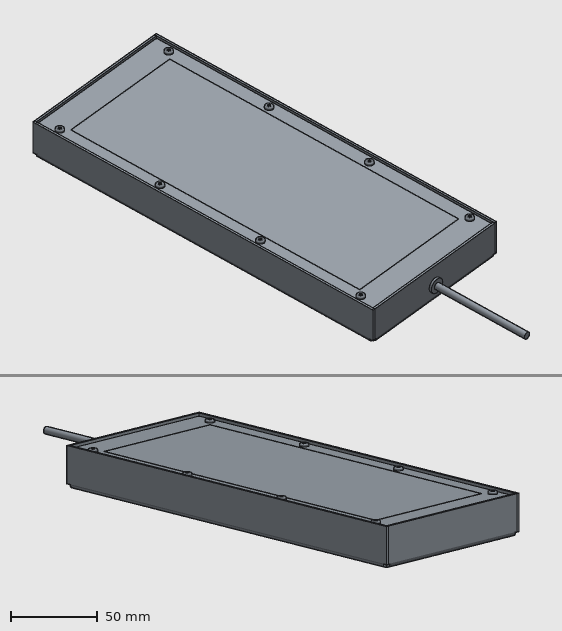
import cadquery as cq

TRAY_LENGTH = 261.0
TRAY_WIDTH = 107.7
TRAY_HEIGHT = 25.2
SHEET = 1.5
BEND_RADIUS = 2.3
INNER_BEND_RADIUS = BEND_RADIUS - SHEET
CORNER_RELIEF = 2.5
FLAP_GAP = 0.05

LID_DEPTH = 1.82
LID_TOP = TRAY_HEIGHT - LID_DEPTH
LID_LENGTH = TRAY_LENGTH - 2 * SHEET
LID_WIDTH = TRAY_WIDTH - 2 * SHEET
WINDOW_LENGTH = 221.5
WINDOW_WIDTH = 86.2
WINDOW_STEP = 0.15

SCREW_COLUMNS = 4
SCREW_ROWS = 2
SCREW_PITCH_X = 77.0
SCREW_PITCH_Y = 95.0
HEAD_DIAMETER = 5.5
HEAD_HEIGHT = 1.5
HEAD_ROUND = 1.0
SOCKET_SIZE = 2.0
SOCKET_DEPTH = 1.0
HEXAGON = 6

OVERALL_LENGTH = 331.5
CABLE_DIAMETER = 4.5
CABLE_HEIGHT = 11.3
CABLE_LENGTH = OVERALL_LENGTH - TRAY_LENGTH
COLLAR_DIAMETER = 10.0
COLLAR_LENGTH = 1.5


def folded_channel(length, width):
    """Sheet bent into a U that runs along X, with rounded bottom bends."""
    outside = (
        cq.Workplane("XY")
        .box(length, width, TRAY_HEIGHT, centered=(True, True, False))
        .edges("|X and <Z")
        .fillet(BEND_RADIUS)
    )
    inside = (
        cq.Workplane("XY", origin=(0, 0, SHEET))
        .box(length, width - 2 * SHEET, TRAY_HEIGHT, centered=(True, True, False))
        .edges("|X and <Z")
        .fillet(INNER_BEND_RADIUS)
    )
    return outside.cut(inside)


def bend_strips(size_x, size_y):
    """Two blocks as tall as a bend, set against opposite bottom edges of the tray."""
    offset_x = (TRAY_LENGTH - size_x) / 2
    offset_y = (TRAY_WIDTH - size_y) / 2
    return (
        cq.Workplane("XY")
        .pushPoints([(-offset_x, -offset_y), (offset_x, offset_y)])
        .rect(size_x, size_y)
        .extrude(BEND_RADIUS)
    )


def make_tray():
    end_strips = bend_strips(CORNER_RELIEF, TRAY_WIDTH)
    side_strips = bend_strips(TRAY_LENGTH, CORNER_RELIEF)
    long_walls = folded_channel(TRAY_LENGTH, TRAY_WIDTH).cut(end_strips)
    flap_width = TRAY_WIDTH - 2 * (SHEET + FLAP_GAP)
    end_flaps = folded_channel(flap_width, TRAY_LENGTH).rotate((0, 0, 0), (0, 0, 1), 90)
    return long_walls.union(end_flaps.cut(side_strips))


def on_screws(height):
    """Workplane at the given height with a point on every screw axis."""
    return cq.Workplane("XY", origin=(0, 0, height)).rarray(
        SCREW_PITCH_X, SCREW_PITCH_Y, SCREW_COLUMNS, SCREW_ROWS
    )


def make_lid():
    block = (
        cq.Workplane("XY", origin=(0, 0, SHEET))
        .box(LID_LENGTH, LID_WIDTH, LID_TOP - SHEET, centered=(True, True, False))
        .faces("<Z")
        .edges()
        .fillet(INNER_BEND_RADIUS)
    )
    window = (
        cq.Workplane("XY", origin=(0, 0, LID_TOP))
        .rect(WINDOW_LENGTH, WINDOW_WIDTH)
        .extrude(-WINDOW_STEP)
    )
    heads = on_screws(LID_TOP).circle(HEAD_DIAMETER / 2).extrude(HEAD_HEIGHT)
    heads = heads.faces(">Z").edges().fillet(HEAD_ROUND)
    sockets = (
        on_screws(LID_TOP + HEAD_HEIGHT).polygon(HEXAGON, SOCKET_SIZE).extrude(-SOCKET_DEPTH)
    )
    return block.cut(window).union(heads).cut(sockets)


def make_cable():
    wall = cq.Workplane("YZ", origin=(TRAY_LENGTH / 2, 0, CABLE_HEIGHT))
    collar = wall.circle(COLLAR_DIAMETER / 2).extrude(COLLAR_LENGTH)
    return collar.union(wall.circle(CABLE_DIAMETER / 2).extrude(CABLE_LENGTH))


tray = make_tray()
lid = make_lid()
cable = make_cable()

result = cq.Compound.makeCompound([tray.val(), lid.val(), cable.val()])